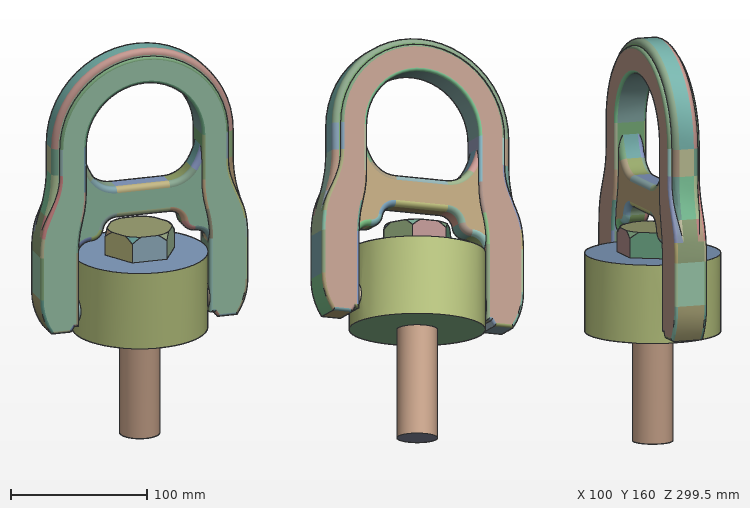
import cadquery as cq
import math

total_height = 299.5

base_radius = 50.0
base_bottom = 81.8
base_top = 140.2
shank_radius = 15.0
head_flats = 46.0
head_top = 159.3
head_corner_radius = head_flats / math.sqrt(3)
head_crown_radius = 24.0
head_crown_drop = 4.8

arch_radius = 70.0
arch_centre = total_height - arch_radius
arch_end = 209.0
leg_outer = 80.0
leg_top = 146.8
leg_bottom = 114.5

foot_bottom = 87.2
foot_outer_radius = 48.0
foot_inner = 56.5
notch_outer = 54.0
notch_top = 91.0
leg_inner = 50.5

eye_radius = 44.5
core_eye_radius = 45.5
eye_bottom = 194.7
eye_flat_half = 20.5
bridge_bottom = 171.0
bridge_flat_half = 20.7
shoulder_start = 144.0
shoulder_radius = 10.5

core_thickness = 19.8
core_fillet = 4.2
band_thickness = 25.0
band_fillet = 2.0
band_inset = 5.0
band_merge = 161.7
band_leg_top = 148.3
band_straight_end = 194.7

pin_radius = 10.8
pin_height = 102.0
pin_embed = 9.0

curve_rise = arch_end - leg_top
curve_run = leg_outer - arch_radius
curve_middle = ((arch_radius + leg_outer) / 2, (arch_end + leg_top) / 2)
curve_radius = math.hypot(curve_rise, curve_run) ** 2 / (4 * curve_run)


def prism(half_outline, thickness):
    """Extrude a half outline mirrored about the Z axis, centred on X = 0."""
    return half_outline.mirrorY().extrude(thickness / 2, both=True)


def arch_start(radius):
    """Begin an outline at the crown of the arch and follow it to its widest point."""
    slant = radius * math.sqrt(0.5)
    return (
        cq.Workplane("YZ")
        .moveTo(0, arch_centre + radius)
        .threePointArc((slant, arch_centre + slant), (radius, arch_centre))
        .lineTo(radius, arch_end)
    )


def make_eye():
    """Eye of the core: round, with a flat floor blended by corner arcs tangent to both."""
    drop = arch_centre - eye_bottom
    corner_radius = (core_eye_radius**2 - eye_flat_half**2 - drop**2) / (2 * (core_eye_radius - drop))
    corner_angle = math.atan2(eye_flat_half, drop - corner_radius)
    corner_end = (
        core_eye_radius * math.sin(corner_angle),
        arch_centre - core_eye_radius * math.cos(corner_angle),
    )
    outline = (
        cq.Workplane("YZ")
        .moveTo(0, arch_centre + core_eye_radius)
        .threePointArc((core_eye_radius, arch_centre), corner_end)
        .tangentArcPoint((eye_flat_half, eye_bottom), relative=False)
        .lineTo(0, eye_bottom)
    )
    return prism(outline, band_thickness)


def make_core():
    """Thin rounded body: arch, bridge and the upper part of the legs."""
    shoulder_end = (leg_inner - shoulder_radius, shoulder_start + shoulder_radius)
    step_middle = (
        (shoulder_end[0] + bridge_flat_half) / 2,
        (shoulder_end[1] + bridge_bottom) / 2,
    )
    outline = (
        arch_start(arch_radius)
        .tangentArcPoint(curve_middle, relative=False)
        .tangentArcPoint((leg_outer, leg_top), relative=False)
        .lineTo(leg_outer, leg_bottom)
        .lineTo(leg_inner, leg_bottom)
        .lineTo(leg_inner, shoulder_start)
        .tangentArcPoint(shoulder_end, relative=False)
        .tangentArcPoint(step_middle, relative=False)
        .tangentArcPoint((bridge_flat_half, bridge_bottom), relative=False)
        .lineTo(0, bridge_bottom)
    )
    body = prism(outline, core_thickness).cut(make_eye())
    return body.faces("<X or >X").edges().fillet(core_fillet)


def make_band():
    """Thicker horseshoe: set in from the rim of the arch, full width at the legs."""
    merge_drop = band_merge - leg_top
    merge_width = math.sqrt(curve_radius**2 - merge_drop**2)
    merge_point = (leg_outer - curve_radius + merge_width, band_merge)
    foot_drop = leg_bottom - foot_bottom
    foot_outer = leg_outer - foot_outer_radius + math.sqrt(foot_outer_radius**2 - foot_drop**2)
    inner_middle = ((leg_inner + eye_radius) / 2, (band_leg_top + band_straight_end) / 2)
    slant = eye_radius * math.sqrt(0.5)
    outline = (
        arch_start(arch_radius - band_inset)
        .spline([merge_point], tangents=[(0, -1), (merge_drop, -merge_width)], includeCurrent=True)
        .tangentArcPoint((leg_outer, leg_top), relative=False)
        .lineTo(leg_outer, leg_bottom)
        .tangentArcPoint((foot_outer, foot_bottom), relative=False)
        .lineTo(foot_inner, foot_bottom)
        .lineTo(notch_outer, notch_top)
        .lineTo(leg_inner, notch_top)
        .lineTo(leg_inner, band_leg_top)
        .tangentArcPoint(inner_middle, relative=False)
        .tangentArcPoint((eye_radius, band_straight_end), relative=False)
        .lineTo(eye_radius, arch_centre)
        .threePointArc((slant, arch_centre + slant), (0, arch_centre + eye_radius))
    )
    return prism(outline, band_thickness).faces("<X or >X").edges().fillet(band_fillet)


def make_head():
    """Hexagon head, corners toward +Y and -Y, with a conical crown chamfer."""
    hexagon = (
        cq.Workplane("XY", origin=(0, 0, base_top))
        .transformed(rotate=(0, 0, 90))
        .polygon(6, 2 * head_corner_radius)
        .extrude(head_top - base_top)
    )
    crown = (
        cq.Workplane("XZ")
        .moveTo(0, base_top)
        .lineTo(head_corner_radius, base_top)
        .lineTo(head_corner_radius, head_top - head_crown_drop)
        .lineTo(head_crown_radius, head_top)
        .lineTo(0, head_top)
        .close()
        .revolve(360, (0, 0), (0, 1))
    )
    return hexagon.intersect(crown)


def make_pin(side):
    """Pin joining the base to the leg on the +Y (side 1) or -Y (side -1) side."""
    pin = (
        cq.Workplane("XZ", origin=(0, leg_inner - pin_embed, pin_height))
        .circle(pin_radius)
        .extrude(-2 * pin_embed)
    )
    return pin if side > 0 else pin.mirror("XZ")


base = cq.Workplane("XY", origin=(0, 0, base_bottom)).circle(base_radius).extrude(base_top - base_bottom)
shank = cq.Workplane("XY").circle(shank_radius).extrude(base_bottom)
bail = make_core().union(make_band())

result = base.union(shank).union(make_head())
for side in (-1, 1):
    result = result.union(make_pin(side))
result = result.union(bail)